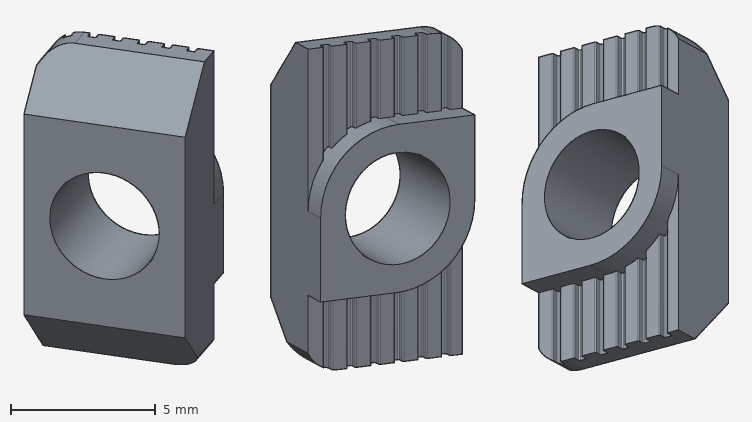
import cadquery as cq
import math

width = 5.9
height = 11.6
body_depth = 3.0
boss_depth = 1.0
rim_depth = 1.0
bore_diameter = 4.0

corner_radius = 1.3
corner_run = 1.16

boss_height = 6.01
boss_radius = boss_height / 2

groove_count = 6
groove_width = 0.3
groove_depth = 0.3
groove_pitch = 0.9
first_groove_inset = 0.63
groove_fillet = 0.05

half_width = width / 2
half_height = height / 2
chamfer = body_depth - rim_depth
back_y = body_depth
overall_depth = body_depth + boss_depth


def half_turn(shape):
    """Turn a shape half way round the bore axis."""
    return shape.rotate((0, 0, 0), (0, 1, 0), 180)


def chamfered_block():
    """Nut body with its front face at Y = 0 and chamfers along both ends."""
    profile = [
        (0, -half_height + chamfer),
        (chamfer, -half_height),
        (back_y, -half_height),
        (back_y, half_height),
        (chamfer, half_height),
        (0, half_height - chamfer),
    ]
    return cq.Workplane("YZ").polyline(profile).close().extrude(half_width, both=True)


def corner_waste():
    """Material outside the rounded corner at the -X, +Z end of the body."""
    center_x = -half_width + corner_run
    center_z = half_height - corner_radius
    square = (
        cq.Workplane("XY")
        .box(corner_radius, body_depth, corner_radius, centered=False)
        .translate((center_x - corner_radius, 0, center_z))
    )
    round_post = (
        cq.Workplane("XZ", origin=(center_x, 0, center_z))
        .circle(corner_radius)
        .extrude(-body_depth)
    )
    return square.cut(round_post)


def cut_grooves(body):
    """Cut the lengthwise serration grooves into the back face and round their edges."""
    floor_y = back_y - groove_depth
    r = groove_fillet
    k = r * (1 - math.cos(math.pi / 4))
    for index in range(groove_count):
        middle_x = -half_width + first_groove_inset + index * groove_pitch
        left = middle_x - groove_width / 2
        right = middle_x + groove_width / 2
        groove = (
            cq.Workplane("XY", origin=(0, 0, -half_height))
            .moveTo(left - r, back_y)
            .threePointArc((left - k, back_y - k), (left, back_y - r))
            .lineTo(left, floor_y + r)
            .threePointArc((left + k, floor_y + k), (left + r, floor_y))
            .lineTo(right - r, floor_y)
            .threePointArc((right - k, floor_y + k), (right, floor_y + r))
            .lineTo(right, back_y - r)
            .threePointArc((right + k, back_y - k), (right + r, back_y))
            .close()
            .extrude(height)
        )
        body = body.cut(groove)
    return body


def boss():
    """Back boss, rounded at two opposite corners, rooted on the groove floors."""
    k = boss_radius * math.cos(math.pi / 4)
    arc_center_x = half_width - boss_radius
    return (
        cq.Workplane("XZ", origin=(0, overall_depth, 0))
        .moveTo(-half_width, boss_radius)
        .lineTo(arc_center_x, boss_radius)
        .threePointArc((arc_center_x + k, k), (half_width, 0))
        .lineTo(half_width, -boss_radius)
        .lineTo(-arc_center_x, -boss_radius)
        .threePointArc((-arc_center_x - k, -k), (-half_width, 0))
        .close()
        .extrude(boss_depth + groove_depth)
    )


def bore():
    """Through hole along Y."""
    return cq.Workplane("XZ").circle(bore_diameter / 2).extrude(-overall_depth)


waste = corner_waste()
body = chamfered_block().cut(waste).cut(half_turn(waste))
body = cut_grooves(body)
result = body.union(boss()).cut(bore())